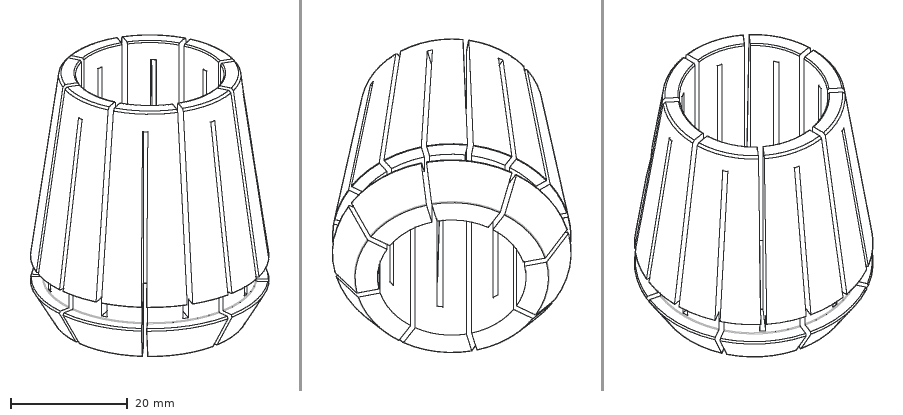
import cadquery as cq
import math

height = 46.0
outer_diameter = 41.0
bore_diameter = 25.5

flange_top_z = 7.1
flange_edge_z = 6.65
cone_base_z = 11.15

neck_diameter = 36.5
cone_half_angle = 8.0
flange_half_angle = 30.0

flange_edge_break = 0.2
top_chamfer = 0.4
bore_chamfer = 0.28
base_chamfer = 0.15
cone_edge_break = 0.1
neck_fillet = 0.15

slots_per_end = 8
base_slot_width = 0.9
top_slot_width = 1.0
base_slot_end_z = 42.45
top_slot_end_z = 7.6

outer_radius = outer_diameter / 2
bore_radius = bore_diameter / 2
neck_radius = neck_diameter / 2
slot_pitch = 360 / slots_per_end
slot_reach = outer_radius + 0.45


def cone_radius(z):
    """Outer radius of the clamping cone at height z."""
    return outer_radius - (z - cone_base_z) * math.tan(math.radians(cone_half_angle))


def flange_radius(z):
    """Outer radius of the flange's lower taper at height z."""
    return outer_radius - (flange_edge_z - z) * math.tan(math.radians(flange_half_angle))


def collet_body():
    """Revolve the half section: flange, neck groove, cone and bore."""
    chamfer_z = height - top_chamfer
    fillet_mid = neck_fillet * (1 - math.sqrt(0.5))
    return (
        cq.Workplane("XZ")
        .moveTo(bore_radius, 0)
        .lineTo(flange_radius(base_chamfer) - base_chamfer, 0)
        .lineTo(flange_radius(base_chamfer), base_chamfer)
        .lineTo(outer_radius, flange_edge_z)
        .lineTo(outer_radius - flange_edge_break, flange_top_z)
        .lineTo(neck_radius + neck_fillet, flange_top_z)
        .threePointArc(
            (neck_radius + fillet_mid, flange_top_z + fillet_mid),
            (neck_radius, flange_top_z + neck_fillet),
        )
        .lineTo(neck_radius, cone_base_z)
        .lineTo(outer_radius - cone_edge_break, cone_base_z)
        .lineTo(cone_radius(cone_base_z + cone_edge_break), cone_base_z + cone_edge_break)
        .lineTo(cone_radius(chamfer_z), chamfer_z)
        .lineTo(cone_radius(chamfer_z) - top_chamfer, height)
        .lineTo(bore_radius + bore_chamfer, height)
        .lineTo(bore_radius, height - bore_chamfer)
        .close()
        .revolve(360, (0, 0, 0), (0, 1, 0))
    )


def radial_slots(width, bottom_z, top_z, first_angle):
    """Ring of radial slot cutters through the wall between two heights."""
    return (
        cq.Workplane("XY", origin=(0, 0, bottom_z))
        .polarArray(slot_reach / 2, first_angle, 360, slots_per_end)
        .rect(slot_reach, width)
        .extrude(top_z - bottom_z)
    )


base_slots = radial_slots(base_slot_width, 0, base_slot_end_z, 0)
top_slots = radial_slots(top_slot_width, top_slot_end_z, height, slot_pitch / 2)

result = collet_body().cut(base_slots).cut(top_slots)